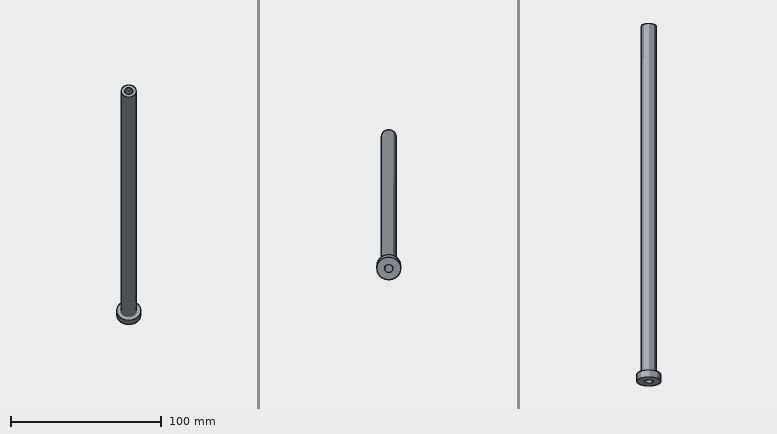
import cadquery as cq

total_length = 255.0
head_diameter = 16.0
head_height = 5.0
shaft_diameter = 10.0
bore_diameter = 5.5
neck_fillet_radius = 0.5


def headed_pin():
    """Revolve the solid head and shaft, with a fillet where the shaft meets the head."""
    head_radius = head_diameter / 2
    shaft_radius = shaft_diameter / 2
    fillet_top = head_height + neck_fillet_radius
    profile = (
        cq.Workplane("XZ")
        .lineTo(head_radius, 0)
        .lineTo(head_radius, head_height)
        .lineTo(shaft_radius + neck_fillet_radius, head_height)
        .radiusArc((shaft_radius, fillet_top), neck_fillet_radius)
        .lineTo(shaft_radius, total_length)
        .lineTo(0, total_length)
        .close()
    )
    return profile.revolve(360, (0, 0, 0), (0, 1, 0))


def through_bore():
    """Straight bore running the full length along the axis."""
    return cq.Workplane("XY").circle(bore_diameter / 2).extrude(total_length)


result = headed_pin().cut(through_bore())